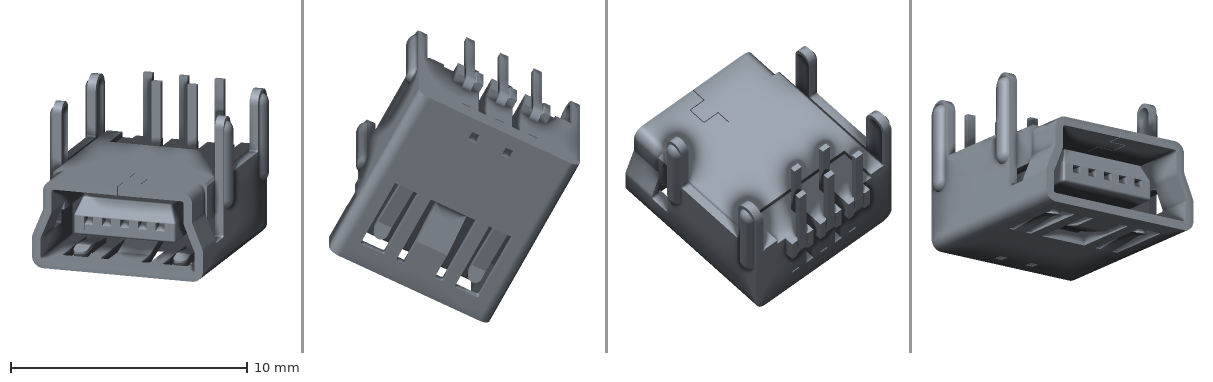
import cadquery as cq
import math

sheet = 0.39
bend_outer = 0.49
bend_inner = bend_outer - sheet
soft = 0.1

shell_half = 3.83
shell_depth = 8.38
shell_top = 3.88
mouth_depth = 1.685
mouth_half_top = 3.34
flare_top = 2.575
flare_bottom = 1.4
gap_floor = 1.3

leg_top = 6.5
rear_leg = (7.78, shell_depth - 7.78)
front_leg = (3.14, 0.45)
side_front = front_leg[0] - front_leg[1]

boss_height = 0.25
boss_radius = 0.4
boss_flat = 0.09
boss_low = 2.84
boss_high = 5.89

seam_gap = 0.035
seam_key_length = 0.8
seam_key_front = 0.72
seam_key_back = 1.61
tab_half = 1.235
tab_end = 2.31

rib_front = 5.415
rib_low = 1.62
rib_high = 2.26

window_front = 0.935
window_back = 4.145
window_half = 0.565
finger_x = 2.24
finger_half = 0.32
finger_tip = 1.455
finger_peak = 2.12
finger_rise = 0.2
finger_nose_slope = 0.25
catch_half = 0.72
catch_slot_edge = 1.1
catch_ramp = (2.12, 3.88)
catch_top = 0.88

pin_count = 5
pin_span = 3.2
pin_pitch = pin_span / (pin_count - 1)
pin_width = 0.4
pin_thick = 0.25
pin_bend = 0.5
pin_level = 2.41
pin_tip_low = 1.59
pin_slope = 0.35
row_y = (8.82, 7.62)

housing_half = shell_half - sheet
housing_bevel = 0.11
cavity_half = mouth_half_top - sheet
wing_low = 2.18
wall_front = window_back
recess_half = 2.655
recess_front = 6.68
recess_floor = 3.64
tooth_low = 2.63
tooth_half = pin_pitch - pin_width / 2
tooth_chamfer = 0.11
bottom_hole_back = 7.78

tongue_front = 0.9
tongue_half = 2.275
tongue_half_top = 1.985
tongue_low = 1.36
tongue_top = 2.955
tongue_nose = 2.205
nose_setback = 0.35

slot_floor = 0.9
slot_roof = 1.0
roof_radius = 0.35

sides = (-1, 1)
pin_numbers = range(pin_count)


def pin_x(number):
    return (number - (pin_count - 1) / 2) * pin_pitch


def is_rear_pin(number):
    return number % 2 == 0


def block(x0, x1, y0, y1, z0, z1):
    return cq.Workplane("XY").box(x1 - x0, y1 - y0, z1 - z0, centered=False).translate((x0, y0, z0))


def along_y(points, y0, y1):
    """Prism of an X-Z outline between two Y positions."""
    return cq.Workplane("XZ", origin=(0, y0, 0)).polyline(points).close().extrude(y0 - y1)


def along_x(points, x0, x1):
    """Prism of a Y-Z outline between two X positions."""
    return cq.Workplane("YZ", origin=(x0, 0, 0)).polyline(points).close().extrude(x1 - x0)



def mouth_prism(inset, corner, waist):
    """Prism of the mouth outline moved in by inset; corner and waist round its outward and inward bends."""
    right = [
        (shell_half, 0),
        (shell_half, flare_bottom),
        (mouth_half_top, flare_top),
        (mouth_half_top, shell_top),
    ]
    points = right + [(-x, z) for x, z in reversed(right)]
    outline = cq.Workplane("XZ").polyline(points).close()
    if inset:
        outline = outline.offset2D(-inset, "intersection")
    prism = outline.extrude(-mouth_depth)
    waist_reach = sheet / 2
    waist_zone = cq.selectors.BoxSelector(
        (-shell_half, -0.09, flare_top - waist_reach), (shell_half, mouth_depth, flare_top + waist_reach)
    )
    waist_edges = prism.edges("|Y").edges(waist_zone)
    corner_edges = prism.edges("|Y").edges(cq.selectors.InverseSelector(waist_zone))
    prism = waist_edges.fillet(waist)
    corner_points = [edge.Center().toTuple() for edge in corner_edges.vals()]
    for point in corner_points:
        prism = prism.edges("|Y").edges(cq.selectors.NearestToPointSelector(point)).fillet(corner)
    return prism


def mouth_ring():
    outer = mouth_prism(0, bend_outer, bend_inner)
    return outer.cut(mouth_prism(sheet, bend_inner, bend_outer))


def side_outline():
    """Side of the shell in Y-Z, with both legs and the gap behind the mouth."""
    rear_y, rear_half = rear_leg
    front_y, front_half = front_leg
    return (
        cq.Workplane("YZ", origin=(-shell_half, 0, 0))
        .lineTo(shell_depth, 0)
        .lineTo(shell_depth, leg_top - rear_half)
        .threePointArc((rear_y, leg_top), (rear_y - rear_half, leg_top - rear_half))
        .lineTo(rear_y - rear_half, shell_top)
        .lineTo(front_y + front_half, shell_top)
        .lineTo(front_y + front_half, leg_top - front_half)
        .threePointArc((front_y, leg_top), (side_front, leg_top - front_half))
        .lineTo(side_front, gap_floor)
        .lineTo(mouth_depth + soft, gap_floor)
        .radiusArc((mouth_depth, gap_floor + soft), soft)
        .lineTo(mouth_depth, gap_floor)
        .lineTo(0, gap_floor)
        .close()
        .extrude(2 * shell_half)
    )


def rounded_side():
    """The side prism with the inner corners at the feet of the legs rounded."""
    side = side_outline()
    feet = (
        (side_front, gap_floor),
        (front_leg[0] + front_leg[1], shell_top),
        (rear_leg[0] - rear_leg[1], shell_top),
    )
    for y, z in feet:
        foot = cq.selectors.NearestToPointSelector((0, y, z))
        side = side.edges("|X").edges(foot).fillet(soft)
    return side


def channel():
    """U-shaped body of the shell: floor, sides and legs."""
    outer = block(-shell_half, shell_half, 0, shell_depth, 0, leg_top)
    outer = outer.edges("|Y and <Z").fillet(bend_outer)
    inner = block(-housing_half, housing_half, 0, shell_depth, sheet, leg_top)
    inner = inner.edges("|Y and <Z").fillet(bend_inner)
    return outer.cut(inner).intersect(rounded_side())


def boss(centre_y):
    """Long round-ended boss standing out of the +X side by boss_height."""
    flat = boss_flat / 2
    drop = boss_radius - boss_height
    half = flat + math.sqrt(boss_radius**2 - drop**2)
    angle = math.acos(drop / boss_radius) / 2
    mid = (flat + boss_radius * math.sin(angle), boss_radius * math.cos(angle) - drop)
    start = cq.Workplane("XY", origin=(shell_half, centre_y, boss_low))
    bar = (
        start.moveTo(0, -half)
        .threePointArc((mid[1], -mid[0]), (boss_height, -flat))
        .lineTo(boss_height, flat)
        .threePointArc((mid[1], mid[0]), (0, half))
        .close()
        .extrude(boss_high - boss_low)
    )
    dome = (
        start.lineTo(boss_height, 0)
        .lineTo(boss_height, flat)
        .threePointArc((mid[1], mid[0]), (0, half))
        .close()
        .revolve(360, (0, 0, 0), (1, 0, 0))
    )
    return bar.union(dome).union(dome.translate((0, 0, boss_high - boss_low)))


def add_bosses(shell):
    for centre_y, _ in (rear_leg, front_leg):
        right = boss(centre_y)
        hollow = right.translate((-sheet, 0, 0))
        shell = shell.union(right).union(right.mirror("YZ"))
        shell = shell.cut(hollow).cut(hollow.mirror("YZ"))
    return shell


def mouth_tab():
    """Tab of the mouth roof that reaches back into the housing."""
    tab = block(-tab_half, tab_half, mouth_depth, tab_end, shell_top - sheet, shell_top)
    return tab.edges("|Z and >Y").fillet(soft / 2)


def seam():
    """Narrow gap where the two ends of the bent sheet meet, stepping around a key."""
    half = seam_gap / 2
    z0 = shell_top - sheet
    key = block(-half, seam_key_length + half, seam_key_front - half, seam_key_back + half, z0, shell_top)
    key = key.edges("|Z and >X").fillet(soft / 2 + seam_gap)
    fill = block(-half, seam_key_length - half, seam_key_front + half, seam_key_back - half, z0, shell_top)
    fill = fill.edges("|Z and >X").fillet(soft / 2)
    front = block(-half, half, 0, seam_key_front, z0, shell_top)
    back = block(-half, half, seam_key_back, tab_end, z0, shell_top)
    return key.cut(fill).union(front).union(back)


def side_slots():
    """Slots for the ribs, open at the rear, through both sides."""
    slot = block(-shell_half, shell_half, rib_front, shell_depth, rib_low, rib_high)
    slot = slot.edges("|X and <Y").fillet(bend_inner)
    middle = block(-housing_half, housing_half, 0, shell_depth, 0, leg_top)
    return slot.cut(middle)


def floor_window(x0, x1):
    return block(x0, x1, window_front, window_back, 0, sheet).edges("|Z and <Y").fillet(soft)


def spring_finger(x):
    """Side finger with a round tip, bent up from the back of its window."""
    plan = (
        cq.Workplane("XY")
        .moveTo(x - finger_half, window_back)
        .lineTo(x - finger_half, finger_tip + finger_half)
        .threePointArc((x, finger_tip), (x + finger_half, finger_tip + finger_half))
        .lineTo(x + finger_half, window_back)
        .close()
        .extrude(2 * sheet)
    )
    tip_rise = finger_rise - finger_nose_slope * (finger_peak - finger_tip)
    sheet_side = [
        (window_back, 0),
        (window_back, sheet),
        (finger_peak, sheet + finger_rise),
        (finger_tip, sheet + tip_rise),
        (finger_tip, tip_rise),
        (finger_peak, finger_rise),
    ]
    return plan.intersect(along_x(sheet_side, x - finger_half, x + finger_half))


def centre_catch():
    """Middle finger, rooted at the front and bent up at its end."""
    start, end = catch_ramp
    rise = catch_top - sheet
    side = [
        (window_front, 0),
        (window_front, sheet),
        (start, sheet),
        (end, catch_top),
        (window_back, catch_top),
        (window_back, rise),
        (end, rise),
        (start, 0),
    ]
    return along_x(side, -catch_half, catch_half)


def bottom_hole(x):
    """Opening under a front-row pin, through the housing and the shell floor."""
    return block(
        x - pin_width / 2, x + pin_width / 2, row_y[1] - pin_thick, bottom_hole_back, 0, pin_level
    )


def make_shell():
    shell = channel().union(mouth_ring()).union(mouth_tab()).cut(seam()).cut(side_slots())
    for side in sides:
        x = side * finger_x
        shell = shell.cut(floor_window(x - window_half, x + window_half)).union(spring_finger(x))
    shell = shell.cut(floor_window(-catch_slot_edge, catch_slot_edge)).union(centre_catch())
    for number in pin_numbers:
        if not is_rear_pin(number):
            shell = shell.cut(bottom_hole(pin_x(number)))
    return add_bosses(shell)



def make_pin(number):
    """Contact: sloping blade, straight run, bend and upright leg."""
    back = row_y[0] if is_rear_pin(number) else row_y[1]
    x = pin_x(number)
    ramp_end = tongue_front + (pin_level - pin_tip_low) / pin_slope
    bend_y = back - pin_bend
    bend_z = pin_level + pin_bend
    inner = pin_bend - pin_thick
    diagonal = math.sqrt(0.5)
    return (
        cq.Workplane("YZ", origin=(x - pin_width / 2, 0, 0))
        .moveTo(tongue_front, pin_tip_low)
        .lineTo(ramp_end, pin_level)
        .lineTo(bend_y, pin_level)
        .threePointArc((bend_y + pin_bend * diagonal, bend_z - pin_bend * diagonal), (back, bend_z))
        .lineTo(back, leg_top)
        .lineTo(back - pin_thick, leg_top)
        .lineTo(back - pin_thick, bend_z)
        .threePointArc((bend_y + inner * diagonal, bend_z - inner * diagonal), (bend_y, bend_z - inner))
        .lineTo(ramp_end, pin_level + pin_thick)
        .lineTo(tongue_front, pin_tip_low + pin_thick)
        .close()
        .extrude(pin_width)
    )



def housing_body():
    """Block behind the mouth, with a roof and two wings reaching forward to it."""
    body = block(-housing_half, housing_half, mouth_depth, shell_depth, sheet, shell_top)
    body = body.edges("|Y and <Z").fillet(bend_inner).edges("|Y and >Z").chamfer(housing_bevel)
    cavity = block(-cavity_half, cavity_half, mouth_depth, wall_front, sheet, shell_top - sheet)
    below_wings = block(-housing_half, housing_half, mouth_depth, wall_front, sheet, wing_low)
    return body.cut(cavity).cut(below_wings)


def tongue():
    section = [
        (-tongue_half, tongue_low),
        (tongue_half, tongue_low),
        (tongue_half, tongue_nose),
        (tongue_half_top, tongue_top),
        (-tongue_half_top, tongue_top),
        (-tongue_half, tongue_nose),
    ]
    side = [
        (tongue_front, tongue_low),
        (wall_front, tongue_low),
        (wall_front, tongue_top),
        (tongue_front + nose_setback, tongue_top),
        (tongue_front, tongue_nose),
    ]
    blade = along_y(section, tongue_front, wall_front)
    blade = blade.intersect(along_x(side, -tongue_half, tongue_half))
    return blade.edges("not >Y").fillet(soft)


def teeth():
    """Rear teeth that guide the rear row of pins."""
    result = cq.Workplane("XY")
    for number in pin_numbers:
        if is_rear_pin(number):
            x = pin_x(number)
            tooth = block(x - tooth_half, x + tooth_half, shell_depth, row_y[0], tooth_low, recess_floor)
            entry = [
                (x - pin_width / 2 - tooth_chamfer, row_y[0]),
                (x + pin_width / 2 + tooth_chamfer, row_y[0]),
                (x, row_y[0] - tooth_chamfer - pin_width / 2),
            ]
            chamfers = cq.Workplane("XY").polyline(entry).close().extrude(shell_top)
            result = result.add(tooth.cut(chamfers))
    return result


def lower_slot(x):
    """Slot under the tongue that runs to the rear, its roof dropping behind the front wall."""
    drop = tongue_low - slot_roof
    side = [
        (wall_front, slot_floor),
        (shell_depth, slot_floor),
        (shell_depth, slot_roof),
        (wall_front + drop, slot_roof),
        (wall_front, tongue_low),
    ]
    slot = along_x(side, x - pin_width / 2, x + pin_width / 2)
    roof_bend = cq.selectors.NearestToPointSelector((x, wall_front + drop, slot_roof))
    return slot.edges("|X").edges(roof_bend).fillet(roof_radius)


def make_housing(pins):
    housing = housing_body().union(tongue())
    recess = block(-recess_half, recess_half, recess_front, shell_depth, recess_floor, shell_top)
    housing = housing.cut(recess).cut(mouth_tab())
    for tooth in teeth().vals():
        housing = housing.union(cq.Workplane(tooth))
    for side in sides:
        inner, outer = sorted((side * housing_half, side * shell_half))
        rib = block(inner, outer, rib_front, shell_depth, rib_low, rib_high)
        housing = housing.union(rib.edges("|X and <Y").fillet(bend_inner))
    for number in pin_numbers:
        x = pin_x(number)
        x0 = x - pin_width / 2
        x1 = x + pin_width / 2
        blade_top = tongue_front + (wing_low - pin_tip_low - pin_thick) / pin_slope
        housing = housing.cut(block(x0, x1, tongue_front, blade_top, pin_tip_low, wing_low))
        housing = housing.cut(lower_slot(x))
        if not is_rear_pin(number):
            notch_front = row_y[1] - pin_thick
            housing = housing.cut(block(x0, x1, notch_front, shell_depth, slot_floor, shell_top))
            housing = housing.cut(bottom_hole(x))
    for pin in pins:
        housing = housing.cut(pin)
    return housing


pins = [make_pin(number) for number in pin_numbers]
shell = make_shell()
housing = make_housing(pins)

result = cq.Compound.makeCompound([shell.val(), housing.val(), *[pin.val() for pin in pins]])